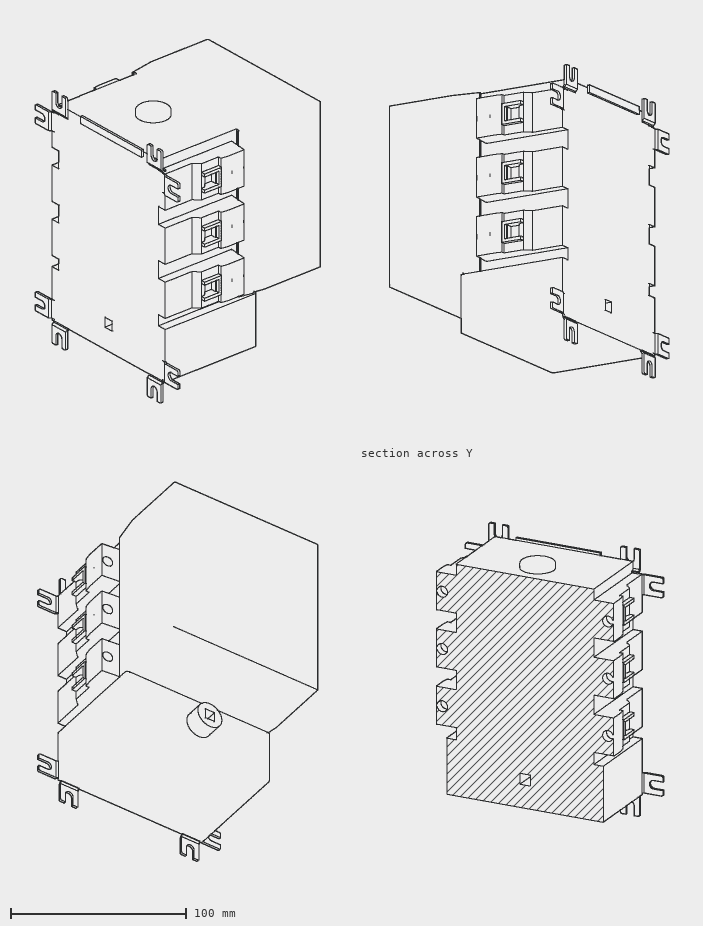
import cadquery as cq


body_height = 141.5
body_half_width = 50.0
core_half_width = 44.0
lower_height = 34.5
lower_depth = 68.7
lower_corner_radius = 1.9
small_edge_radius = 0.6

cover_back = 116.5
taper_back = 74.2
lip_front = 57.2
lip_half_width = 47.0
lip_thickness = 0.8
lip_reach = 1.0
core_depth = lip_front + lip_reach
cover_edge_radius = 1.2
under_edge_front = 67.2

terminal_pitch = 34.9
terminal_height = 23.4
lowest_terminal_center = 53.35
terminal_count = 3
terminal_half_width = 56.6
terminal_back_inner = 54.7
terminal_back_outer = 53.4
shoulder_back = 41.0
shoulder_front = 36.6
shoulder_half_width = 55.9
seat_half_width = 53.8
seat_front = 23.8
ramp_front = 19.9

clamp_height = 12.3
pocket_height = 8.4
pocket_back = 33.8
pocket_bottom = 50.8
rim_back = 34.5
rim_depth = 2.0
clamp_bar_back = 27.9
clamp_bar_radius = 2.9

wire_hole_diameter = 6.4
wire_hole_x = 52.8
wire_hole_depth = 10.0

lug_thickness = 1.5
lug_width = 12.2
lug_corner_radius = 1.0
slot_width = 5.2
slot_depth = 8.6
lug_flat_length = 11.9
bend_length = 1.3
bend_outer_depth = 0.3
root_depth = 0.8
lug_center_x = 42.0
side_lug_tip = 63.0
side_lug_overlap = 2.0
side_lug_heights = (7.4, 128.3)
upper_lug_tip = 149.1
lower_lug_tip = -13.6
end_lug_overlap = 0.7
hook_depth = 2.2
hook_thickness = 0.8

plate_width = 53.8
plate_center_x = 3.9
plate_bottom = 138.3
plate_top = 142.9
button_diameter = 20.5
button_y = 33.4
button_top = 145.2
button_edge_radius = 1.2
shaft_diameter = 16.6
shaft_back = 79.8
shaft_z = 17.6
square_hole = 6.4


def box(x_min, x_max, y_min, y_max, z_min, z_max):
    size = (x_max - x_min, y_max - y_min, z_max - z_min)
    return cq.Workplane("XY").box(*size, centered=False).translate((x_min, y_min, z_min))


def both_sides(shape):
    return shape.union(shape.mirror("YZ"))


def edges_behind_lip():
    """Selector for the edges of the cover whose middles lie behind its lip."""
    return cq.selectors.BoxSelector(
        (-terminal_half_width, core_depth + lip_reach, 0),
        (terminal_half_width, cover_back + lip_reach, body_height + lip_reach),
    )


def make_housing():
    core = box(-core_half_width, core_half_width, 0, core_depth, 0, body_height)
    lower = box(-body_half_width, body_half_width, 0, lower_depth, 0, lower_height)
    lower = lower.faces(">Y").edges("|Z").fillet(lower_corner_radius)
    lower = lower.faces("<Z").edges("|Y").fillet(small_edge_radius)
    return core.union(lower)


def make_cover():
    right_outline = [
        (body_half_width, cover_back),
        (body_half_width, taper_back),
        (lip_half_width, lip_front),
        (lip_half_width - lip_thickness, lip_front),
        (lip_half_width - lip_thickness, core_depth),
    ]
    left_outline = [(-x, y) for x, y in reversed(right_outline)]
    plain = cq.Workplane("XY").workplane(offset=lower_height).polyline(right_outline + left_outline).close()
    plain = plain.extrude(body_height - lower_height)

    rounded_under = plain.faces("<Z").edges(edges_behind_lip()).edges("not |X").fillet(cover_edge_radius)
    rounded_back = plain.faces(">Y").edges("|Z").fillet(cover_edge_radius)
    rounded_back = rounded_back.faces(">Z").edges(edges_behind_lip()).fillet(small_edge_radius)
    cover = rounded_under.intersect(rounded_back)

    square_top = lower_height + cover_edge_radius
    square_stretch = box(-body_half_width, body_half_width, 0, under_edge_front, lower_height, square_top)
    return cover.union(plain.intersect(square_stretch))


def make_terminal(center_z):
    bottom = center_z - terminal_height / 2
    outline = [
        (core_half_width, 0),
        (body_half_width, 0),
        (body_half_width, ramp_front),
        (seat_half_width, seat_front),
        (seat_half_width, shoulder_front),
        (shoulder_half_width, shoulder_front),
        (terminal_half_width, shoulder_back),
        (terminal_half_width, terminal_back_outer),
        (core_half_width, terminal_back_inner),
    ]
    terminal = cq.Workplane("XY").workplane(offset=bottom).polyline(outline).close().extrude(terminal_height)
    clamp_bottom = center_z - clamp_height / 2
    clamp_top = center_z + clamp_height / 2
    clamp = box(seat_half_width, terminal_half_width, seat_front, shoulder_front, clamp_bottom, clamp_top)
    pocket_z = (center_z - pocket_height / 2, center_z + pocket_height / 2)
    pocket = box(pocket_bottom, terminal_half_width, seat_front, pocket_back, *pocket_z)
    rim = box(terminal_half_width - rim_depth, terminal_half_width, seat_front, rim_back, *pocket_z)
    bar = box(pocket_bottom, seat_half_width, seat_front, clamp_bar_back, *pocket_z)
    bar = bar.edges(">X and >Y").fillet(clamp_bar_radius)
    wire_hole = cq.Workplane("XZ").center(wire_hole_x, center_z).circle(wire_hole_diameter / 2)
    wire_hole = wire_hole.extrude(wire_hole_depth).translate((0, terminal_back_inner, 0))
    return terminal.union(clamp).cut(pocket).cut(rim).union(bar).cut(wire_hole)


def make_lug(overlap):
    """Lug with its tip at the origin, pointing along +Y and centred on X, with its back face in Z = 0."""
    bend_start = -lug_flat_length
    bend_end = bend_start - bend_length
    root_end = bend_end - overlap
    side_outline = [
        (0, 0),
        (0, lug_thickness),
        (bend_start, lug_thickness),
        (bend_end, bend_outer_depth),
        (root_end, 0),
        (root_end, -root_depth),
        (bend_end, -root_depth),
        (bend_start, 0),
    ]
    lug = cq.Workplane("YZ").polyline(side_outline).close().extrude(lug_width / 2, both=True)
    lug = lug.edges("|Z and >Y").fillet(lug_corner_radius)
    slot = cq.Workplane("XY").slot2D(2 * slot_depth, slot_width, 90).extrude(lug_thickness)
    return lug.cut(slot)


def make_lugs():
    """Right-hand lugs, stood up so that their back faces lie in the front face of the housing."""
    upper = make_lug(end_lug_overlap).rotate((0, 0, 0), (1, 0, 0), 90)
    lower = upper.rotate((0, 0, 0), (0, 1, 0), 180)
    lugs = upper.translate((lug_center_x, 0, upper_lug_tip))
    lugs = lugs.union(lower.translate((lug_center_x, 0, lower_lug_tip)))
    side = make_lug(side_lug_overlap).rotate((0, 0, 0), (1, 0, 0), 90).rotate((0, 0, 0), (0, 1, 0), 90)
    for height in side_lug_heights:
        lugs = lugs.union(side.translate((side_lug_tip, 0, height)))
    hook_bottom = upper_lug_tip - lug_flat_length - bend_length - end_lug_overlap
    lug_x = (lug_center_x - lug_width / 2, lug_center_x + lug_width / 2)
    hook = box(*lug_x, 0, hook_depth, hook_bottom, hook_bottom + hook_thickness)
    return lugs.union(hook)


def make_top_plate():
    left = plate_center_x - plate_width / 2
    return box(left, left + plate_width, -lug_thickness, 0, plate_bottom, plate_top)


def make_button():
    button = cq.Workplane("XY").workplane(offset=body_height).center(0, button_y).circle(button_diameter / 2)
    return button.extrude(button_top - body_height).faces(">Z").edges().fillet(button_edge_radius)


def make_shaft():
    length = shaft_back - lower_depth
    shaft = cq.Workplane("XZ").center(0, shaft_z).circle(shaft_diameter / 2).extrude(-length)
    return shaft.translate((0, lower_depth, 0))


def make_square_hole():
    return cq.Workplane("XZ").center(0, shaft_z).rect(square_hole, square_hole).extrude(-shaft_back)


result = make_housing().union(make_cover())
for index in range(terminal_count):
    terminal_center = lowest_terminal_center + index * terminal_pitch
    result = result.union(both_sides(make_terminal(terminal_center)))
result = result.union(both_sides(make_lugs()))
result = result.union(make_top_plate()).union(make_button()).union(make_shaft())
result = result.cut(make_square_hole())